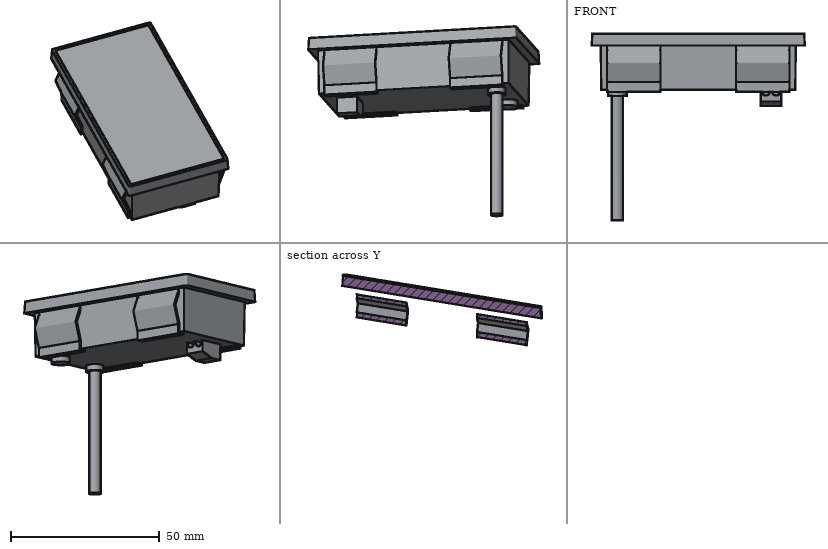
import cadquery as cq
import math

overall_width = 72.0
overall_depth = 36.9
overall_height = 63.0

panel_depth = 36.2
panel_thickness = 4.0
panel_draft_inset = 0.2
panel_corner_radius = 0.5
label_margin = 1.0
label_recess = 0.1

housing_width = 65.95
housing_depth = 31.8
housing_draft_inset = 0.2
housing_rear = 19.0
housing_height = housing_rear - panel_thickness

clip_width = 18.0
clip_center_x = 21.75
strip_thickness = 0.65
clip_knee_drop = 9.9
clip_leg_drop = 16.4
clip_foot_length = 2.7
clip_leg_y = housing_depth / 2 - housing_draft_inset + strip_thickness
clip_knee_radius = 0.65
clip_knee_rounding_loss = 0.04

collar_x = -27.3
collar_rear = 21.0
cable_y = 8.9
spare_collar_y = -cable_y
cable_diameter = 3.95
cable_collar_diameter = 5.9
spare_collar_diameter = 6.3

terminal_x = 24.55
terminal_width = 7.0
terminal_front_y = -0.35
terminal_slope_end_y = 4.3
terminal_back_y = cable_y
terminal_slope_start = 22.9
terminal_rear = 24.5
wire_hole_diameter = 2.6
wire_hole_spacing = 3.45
wire_hole_drop = 19.6
wire_hole_depth = 3.6


def tapered_block(width, depth, height, inset):
    """Block standing on Z = 0 whose sides lean inwards by the inset over its height."""
    draft = math.degrees(math.atan(inset / height))
    return cq.Workplane("XY").rect(width, depth).extrude(height, taper=draft)


def make_panel():
    plate = tapered_block(overall_width, panel_depth, panel_thickness, panel_draft_inset)
    plate = plate.edges("not(|X or |Y)").fillet(panel_corner_radius)
    plate = plate.translate((0, 0, -panel_thickness))
    label = cq.Workplane("XY").box(
        overall_width - 2 * (panel_draft_inset + label_margin),
        panel_depth - 2 * (panel_draft_inset + label_margin),
        2 * label_recess,
    )
    return plate.cut(label)


def make_housing():
    block = tapered_block(housing_width, housing_depth, housing_height, housing_draft_inset)
    return block.rotate((0, 0, 0), (1, 0, 0), 180).translate((0, 0, -panel_thickness))


def make_clip():
    """Clip on the +Y side, centred on X = 0."""
    knee_y = overall_depth / 2 + clip_knee_rounding_loss
    foot_z = -housing_rear - strip_thickness
    anchor_y = housing_depth / 2 - strip_thickness
    root_slope = (knee_y - housing_depth / 2) / (clip_knee_drop - panel_thickness)
    leg_slope = (knee_y - clip_leg_y) / (clip_leg_drop - clip_knee_drop)
    root_shift = strip_thickness * math.hypot(1, root_slope)
    leg_shift = strip_thickness * math.hypot(1, leg_slope)
    inner_leg_y = clip_leg_y - strip_thickness
    inner_knee_drop = clip_knee_drop + (root_shift - leg_shift) / (root_slope + leg_slope)
    inner_knee_y = knee_y - leg_shift - leg_slope * (inner_knee_drop - clip_knee_drop)
    inner_leg_drop = clip_leg_drop - (leg_shift - strip_thickness) / leg_slope
    inner_root_drop = inner_knee_drop - (inner_knee_y - anchor_y) / root_slope
    profile = [
        (anchor_y, -panel_thickness),
        (housing_depth / 2, -panel_thickness),
        (knee_y, -clip_knee_drop),
        (clip_leg_y, -clip_leg_drop),
        (clip_leg_y, foot_z),
        (clip_leg_y - clip_foot_length, foot_z),
        (clip_leg_y - clip_foot_length, -housing_rear),
        (inner_leg_y, -housing_rear),
        (inner_leg_y, -inner_leg_drop),
        (inner_knee_y, -inner_knee_drop),
        (anchor_y, -inner_root_drop),
    ]
    strip = cq.Workplane("YZ").polyline(profile).close().extrude(clip_width / 2, both=True)
    return strip.edges("|X").edges(">Y").fillet(clip_knee_radius)


def make_rear_cylinder(y, diameter, rear):
    """Round post along Z from the rear of the housing down to the given drop."""
    base = cq.Workplane("XY", origin=(collar_x, y, -housing_rear))
    return base.circle(diameter / 2).extrude(housing_rear - rear)


def make_terminal():
    profile = [
        (terminal_front_y, -housing_rear),
        (terminal_front_y, -terminal_slope_start),
        (terminal_slope_end_y, -terminal_rear),
        (terminal_back_y, -terminal_rear),
        (terminal_back_y, -housing_rear),
    ]
    block = cq.Workplane("YZ").polyline(profile).close().extrude(terminal_width / 2, both=True)
    holes = (
        cq.Workplane("XZ", origin=(0, terminal_front_y, -wire_hole_drop))
        .pushPoints([(-wire_hole_spacing / 2, 0), (wire_hole_spacing / 2, 0)])
        .circle(wire_hole_diameter / 2)
        .extrude(-wire_hole_depth)
    )
    return block.cut(holes).translate((terminal_x, 0, 0))


result = make_panel().union(make_housing())
for clip_x in (-clip_center_x, clip_center_x):
    clip = make_clip().translate((clip_x, 0, 0))
    result = result.union(clip).union(clip.mirror("XZ"))
result = result.union(make_rear_cylinder(cable_y, cable_collar_diameter, collar_rear))
result = result.union(make_rear_cylinder(spare_collar_y, spare_collar_diameter, collar_rear))
result = result.union(make_rear_cylinder(cable_y, cable_diameter, overall_height))
result = result.union(make_terminal())